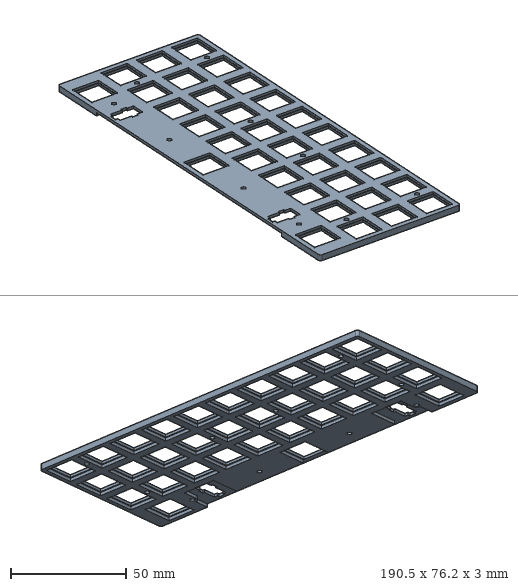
import cadquery as cq

unit = 19.05
columns = 10
rows = 4
length = columns * unit
width = rows * unit
thickness = 3.0
corner_radius = 1.25

switch_size = 14.0
alpha_rows = 3
bottom_row_y = -1.5 * unit
bottom_switch_offset = 4.25 * unit

stabilizer_offset = 3 * unit
stab_half_width = 3.375
stab_top = 5.53
stab_bottom = -6.77
wing_half_width = 4.2
wing_top = 2.3
wing_bottom = -0.5
tab_half_width = 1.65
tab_bottom = -7.97

screw_diameter = 2.2
corner_screw_x = 4 * unit
middle_screw_x = unit
outer_bottom_screw_x = 67.25
inner_bottom_screw_x = 27.0

web_thickness = 1.4
pocket_height = thickness - web_thickness
switch_clearance_size = 15.0
wire_channel_back_y = bottom_row_y - switch_size / 2
stab_pocket_inner_x = 47.4
stab_pocket_outer_x = 67.3
stab_pocket_back_y = bottom_row_y + switch_clearance_size / 2
screw_boss_radius = 2.25


def sketch_at(points):
    """Start a sketch on the underside plane with one profile per point."""
    return cq.Workplane("XY").pushPoints(points)


def switch_centres():
    centres = []
    for row in range(alpha_rows):
        for column in range(columns):
            x = (column - (columns - 1) / 2) * unit
            y = ((rows - 1) / 2 - row) * unit
            centres.append((x, y))
    for x in (-bottom_switch_offset, 0, bottom_switch_offset):
        centres.append((x, bottom_row_y))
    return centres


def screw_centres():
    centres = []
    for side in (-1, 1):
        centres.append((side * corner_screw_x, 1.5 * unit))
        centres.append((side * middle_screw_x, 0.5 * unit))
        centres.append((side * corner_screw_x, -0.5 * unit))
        centres.append((side * outer_bottom_screw_x, bottom_row_y))
        centres.append((side * inner_bottom_screw_x, bottom_row_y))
    return centres


def stabilizer_opening(x):
    """Stepped stabilizer opening with side wings and a front tab."""
    right_side = [
        (stab_half_width, stab_top),
        (stab_half_width, wing_top),
        (wing_half_width, wing_top),
        (wing_half_width, wing_bottom),
        (stab_half_width, wing_bottom),
        (stab_half_width, stab_bottom),
        (tab_half_width, stab_bottom),
        (tab_half_width, tab_bottom),
    ]
    left_side = [(-px, py) for px, py in reversed(right_side)]
    outline = cq.Workplane("XY").center(x, bottom_row_y).polyline(right_side + left_side).close()
    return outline.extrude(thickness)


def front_pocket(x_min, x_max, back_y):
    """Underside pocket running from the front edge of the plate to back_y."""
    front_y = -width / 2
    pocket = cq.Workplane("XY").box(x_max - x_min, back_y - front_y, pocket_height, centered=False)
    return pocket.translate((x_min, front_y, 0))


def screw_bosses():
    """Round-nosed ribs left standing around the outer bottom screws."""
    nose_centres = [(-outer_bottom_screw_x, bottom_row_y), (outer_bottom_screw_x, bottom_row_y)]
    noses = sketch_at(nose_centres).circle(screw_boss_radius).extrude(pocket_height)
    rib_length = stab_pocket_back_y - bottom_row_y
    rib_centres = [(x, y + rib_length / 2) for x, y in nose_centres]
    ribs = sketch_at(rib_centres).rect(2 * screw_boss_radius, rib_length).extrude(pocket_height)
    return noses.union(ribs)


def underside_pockets():
    """Wire channel, stabilizer pockets and switch clearances below the web."""
    pockets = front_pocket(-stab_pocket_inner_x, stab_pocket_inner_x, wire_channel_back_y)
    pockets = pockets.union(front_pocket(stab_pocket_inner_x, stab_pocket_outer_x, stab_pocket_back_y))
    pockets = pockets.union(front_pocket(-stab_pocket_outer_x, -stab_pocket_inner_x, stab_pocket_back_y))
    pockets = pockets.cut(screw_bosses())
    clearances = sketch_at(switch_centres()).rect(switch_clearance_size, switch_clearance_size)
    return pockets.union(clearances.extrude(pocket_height))


plate = cq.Workplane("XY").box(length, width, thickness, centered=(True, True, False))
plate = plate.edges("|Z").fillet(corner_radius)
plate = plate.cut(underside_pockets())
plate = plate.cut(sketch_at(switch_centres()).rect(switch_size, switch_size).extrude(thickness))
plate = plate.cut(sketch_at(screw_centres()).circle(screw_diameter / 2).extrude(thickness))
for side in (-1, 1):
    plate = plate.cut(stabilizer_opening(side * stabilizer_offset))

result = plate